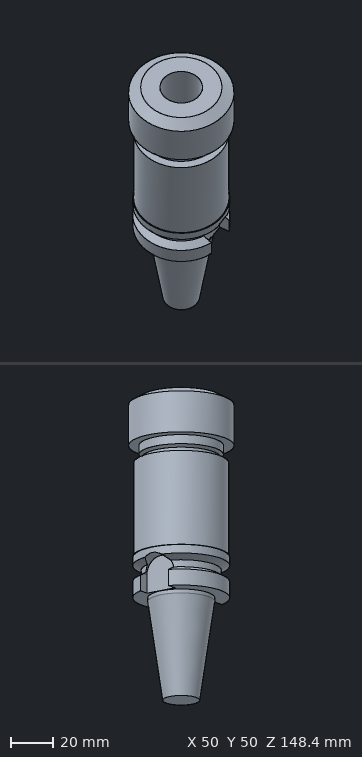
import cadquery as cq
import math

overall_height = 148.4
gauge_z = 48.4
flange_bottom_z = 50.3
flange_top_z = 58.2
groove_bottom_z = 60.4
groove_top_z = 63.8
collar_bottom_z = 66.0
collar_top_z = 70.3
body_top_z = 116.5
neck_cone_bottom_z = 119.2
neck_cone_top_z = 120.5
nut_bottom_z = 125.0

taper_large_radius = 15.9
taper_ratio = 7 / 48
taper_small_radius = taper_large_radius - gauge_z * taper_ratio
flange_radius = 23.0
groove_radius = 19.0
body_radius = 22.5
lower_neck_radius = 18.5
upper_neck_radius = 20.0
nut_radius = 25.0
nut_top_radius = 19.22
nut_bevel_angle = 30.0
nut_bevel_height = (nut_radius - nut_top_radius) * math.tan(math.radians(nut_bevel_angle))

bore_radius = 10.02
bore_depth = 40.0

slot_width = 16.3
slot_top_z = 67.5
slot_floor_x = 16.3


def make_holder():
    """Revolve the taper, grooved flange, body and clamping nut."""
    profile = [
        (0, 0),
        (taper_small_radius, 0),
        (taper_large_radius, gauge_z),
        (taper_large_radius, flange_bottom_z),
        (flange_radius, flange_bottom_z),
        (flange_radius, flange_top_z),
        (groove_radius, groove_bottom_z),
        (groove_radius, groove_top_z),
        (flange_radius, collar_bottom_z),
        (flange_radius, collar_top_z),
        (body_radius, collar_top_z),
        (body_radius, body_top_z),
        (lower_neck_radius, body_top_z),
        (lower_neck_radius, neck_cone_bottom_z),
        (upper_neck_radius, neck_cone_top_z),
        (upper_neck_radius, nut_bottom_z),
        (nut_radius, nut_bottom_z),
        (nut_radius, overall_height - nut_bevel_height),
        (nut_top_radius, overall_height),
        (0, overall_height),
    ]
    return cq.Workplane("XZ").polyline(profile).close().revolve(360, (0, 0), (0, 1))


def make_bore():
    """Blind bore sunk from the top face."""
    bore = cq.Workplane("XY", origin=(0, 0, overall_height))
    return bore.circle(bore_radius).extrude(-bore_depth)


def make_slot(side):
    """Round-topped drive slot on the side (+1 or -1) of the X axis, open at the flange bottom."""
    half_width = slot_width / 2
    arc_start_z = slot_top_z - half_width
    return (
        cq.Workplane("YZ", origin=(side * slot_floor_x, 0, 0))
        .moveTo(-half_width, flange_bottom_z)
        .lineTo(half_width, flange_bottom_z)
        .lineTo(half_width, arc_start_z)
        .threePointArc((0, slot_top_z), (-half_width, arc_start_z))
        .close()
        .extrude(side * flange_radius)
    )


result = make_holder().cut(make_bore())
for slot_side in (-1, 1):
    result = result.cut(make_slot(slot_side))